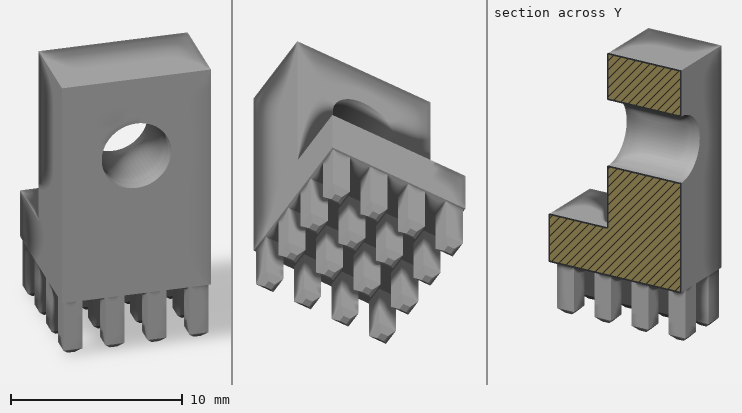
import cadquery as cq

body_width = 9.0
body_height = 14.0
foot_height = 3.0
wall_thickness = 5.0

hole_diameter = 4.2
hole_below_top = 5.0

pins_per_side = 4
pin_pitch = 2.54
pin_width = 1.15
pin_length = 3.5
pin_tip_chamfer = 0.35

half_width = body_width / 2
wall_face_x = half_width - wall_thickness


def make_body():
    """L profile in the XZ plane, extruded over the full width in Y."""
    profile = [
        (-half_width, 0),
        (half_width, 0),
        (half_width, body_height),
        (wall_face_x, body_height),
        (wall_face_x, foot_height),
        (-half_width, foot_height),
    ]
    return cq.Workplane("XZ").polyline(profile).close().extrude(half_width, both=True)


def make_hole():
    """Cylinder along X from the wall face out through the back of the body."""
    return (
        cq.Workplane("YZ", origin=(wall_face_x, 0, 0))
        .center(0, body_height - hole_below_top)
        .circle(hole_diameter / 2)
        .extrude(wall_thickness)
    )


def make_pin(x, y):
    """Square pin hanging from the underside, chamfered around its free end."""
    return (
        cq.Workplane("XY")
        .center(x, y)
        .rect(pin_width, pin_width)
        .extrude(-pin_length)
        .faces("<Z")
        .chamfer(pin_tip_chamfer)
    )


first_pin = -(pins_per_side - 1) * pin_pitch / 2
pin_positions = [first_pin + index * pin_pitch for index in range(pins_per_side)]

result = make_body().cut(make_hole())
for pin_x in pin_positions:
    for pin_y in pin_positions:
        result = result.union(make_pin(pin_x, pin_y))